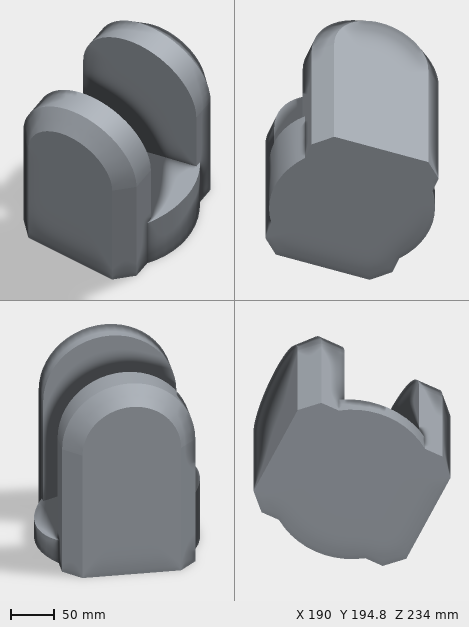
import cadquery as cq
import math

height = 234.0
plate_width = 155.0
plate_thickness = 50.0
gap = 94.8
chamfer = 20.1

base_diameter = 190.0
base_mid_height = 49.8
slope_angle = 15.0

plate_radius = plate_width / 2
arc_center_height = height - plate_radius
base_radius = base_diameter / 2


def make_plate():
    """Round-topped plate on the +Y side, chamfered around its outer face except along the bottom."""
    plate = (
        cq.Workplane("XZ", origin=(0, gap / 2 + plate_thickness, 0))
        .moveTo(-plate_radius, 0)
        .lineTo(plate_radius, 0)
        .lineTo(plate_radius, arc_center_height)
        .threePointArc((0, height), (-plate_radius, arc_center_height))
        .close()
        .extrude(plate_thickness)
    )
    return plate.faces(">Y").edges("not <Z").chamfer(chamfer)


def make_base():
    """Cylinder cut to a top plane that rises toward +X."""
    rise = base_radius * math.tan(math.radians(slope_angle))
    wedge = (
        cq.Workplane("XZ")
        .polyline([
            (-base_radius, 0),
            (base_radius, 0),
            (base_radius, base_mid_height + rise),
            (-base_radius, base_mid_height - rise),
        ])
        .close()
        .extrude(base_radius, both=True)
    )
    cylinder = cq.Workplane("XY").circle(base_radius).extrude(height)
    return cylinder.intersect(wedge)


back_plate = make_plate()
front_plate = back_plate.mirror("XZ")
result = make_base().union(back_plate).union(front_plate)